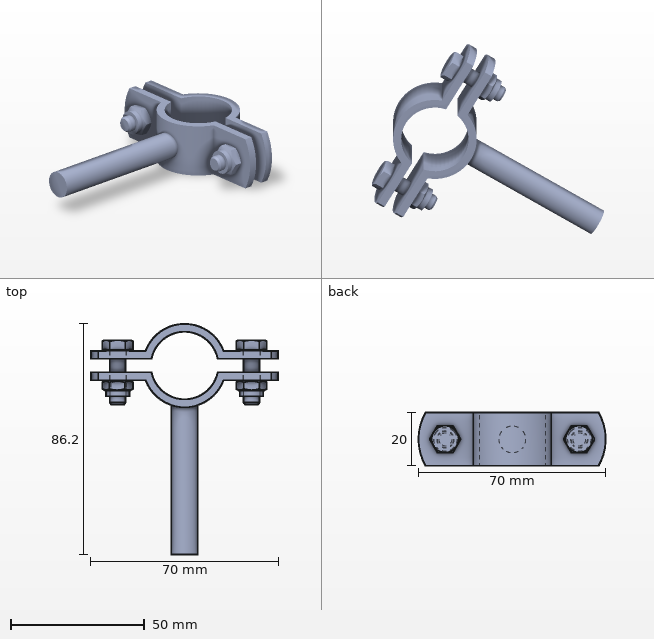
import cadquery as cq
import math

clamp_length = 70.0
clamp_width = 20.0
strap_thickness = 3.0
ear_gap = 5.0
ring_outer_radius = 15.6
ring_inner_radius = ring_outer_radius - strap_thickness
ear_end_radius = clamp_width
ear_inner_face = ear_gap / 2
ear_outer_face = ear_inner_face + strap_thickness

overall_depth = 86.2
rod_diameter = 10.0
rod_end = overall_depth - ring_outer_radius

bolt_spacing = 50.0
bolt_x_positions = (-bolt_spacing / 2, bolt_spacing / 2)
shank_diameter = 6.0
clearance_diameter = 6.5
hex_across_flats = 10.0
hex_across_corners = hex_across_flats / math.cos(math.radians(30))
hex_chamfer_angle = 30.0
washer_face_diameter = 8.7
washer_face_height = 0.4
head_height = 4.0
nut_hex_height = 4.0
collar_diameter = 8.9
nut_height = 6.0
nut_turns = (3.0, 0.0)
bolt_projection = 9.05
tip_diameter = 4.8
tip_chamfer_height = 0.8


def along_y(start):
    """Workplane facing +Y, with local x along -X and local y along +Z."""
    return cq.Workplane("XZ", origin=(0, start, 0)).transformed(rotate=(0, 180, 0))


def cylinder(diameter, start, end):
    """Cylinder on the Y axis between two Y positions."""
    return along_y(start).circle(diameter / 2).extrude(end - start)


def make_half_clamp():
    """Half ring with two ears on the +Y side."""
    half_length = clamp_length / 2
    half_width = clamp_width / 2
    end_sagitta = ear_end_radius - math.sqrt(ear_end_radius**2 - half_width**2)
    outer_root = math.sqrt(ring_outer_radius**2 - ear_outer_face**2)
    inner_root = math.sqrt(ring_inner_radius**2 - ear_inner_face**2)
    strap = (
        cq.Workplane("XY", origin=(0, 0, -half_width))
        .moveTo(-half_length, ear_inner_face)
        .lineTo(-half_length, ear_outer_face)
        .lineTo(-outer_root, ear_outer_face)
        .threePointArc((0, ring_outer_radius), (outer_root, ear_outer_face))
        .lineTo(half_length, ear_outer_face)
        .lineTo(half_length, ear_inner_face)
        .lineTo(inner_root, ear_inner_face)
        .threePointArc((0, ring_inner_radius), (-inner_root, ear_inner_face))
        .close()
        .extrude(clamp_width)
    )
    corner_x = half_length - end_sagitta
    rounded_outline = (
        along_y(0)
        .moveTo(-corner_x, -half_width)
        .lineTo(corner_x, -half_width)
        .threePointArc((half_length, 0), (corner_x, half_width))
        .lineTo(-corner_x, half_width)
        .threePointArc((-half_length, 0), (-corner_x, -half_width))
        .close()
        .extrude(ring_outer_radius)
    )
    half = strap.intersect(rounded_outline)
    for x in bolt_x_positions:
        hole = cylinder(clearance_diameter, 0, ring_outer_radius).translate((x, 0, 0))
        half = half.cut(hole)
    return half


def make_front_half():
    """Half clamp on the -Y side with its rod, which stops at the ring bore."""
    half = make_half_clamp().mirror("XZ")
    rod = cylinder(rod_diameter, -rod_end, -ring_inner_radius)
    bore = cq.Workplane("XY").circle(ring_inner_radius).extrude(clamp_width / 2, both=True)
    return half.union(rod.cut(bore))


def hexagon(start, end, start_diameter, end_diameter):
    """Hexagonal prism along Y, turned off conically to the given end diameters."""
    prism = along_y(start).polygon(6, hex_across_corners).extrude(end - start)
    corner_radius = hex_across_corners / 2
    start_radius = start_diameter / 2
    end_radius = end_diameter / 2
    slope = math.tan(math.radians(hex_chamfer_angle))
    start_drop = (corner_radius - start_radius) * slope
    end_drop = (corner_radius - end_radius) * slope
    outline = [
        (0, start),
        (start_radius, start),
        (corner_radius, start + start_drop),
        (corner_radius, end - end_drop),
        (end_radius, end),
        (0, end),
    ]
    if start_drop == 0:
        outline.pop(1)
    envelope = (
        cq.Workplane("XY")
        .polyline(outline)
        .close()
        .revolve(360, (0, 0, 0), (0, 1, 0))
    )
    return prism.intersect(envelope)


def make_bolt(x):
    """Hex bolt with its head on the rear ear and its tip toward -Y."""
    seat = ear_outer_face
    washer_top = seat + washer_face_height
    tip = -ear_outer_face - bolt_projection
    tip_chamfer_width = (shank_diameter - tip_diameter) / 2
    shank = cylinder(shank_diameter, tip, seat).faces("<Y").chamfer(tip_chamfer_height, tip_chamfer_width)
    washer_face = cylinder(washer_face_diameter, seat, washer_top)
    head = hexagon(washer_top, seat + head_height, hex_across_corners, hex_across_flats)
    return shank.union(washer_face).union(head).translate((x, 0, 0))


def make_nut(x, turn):
    """Hex nut with a round collar, seated on the front ear."""
    seat = -ear_outer_face
    hex_end = seat - nut_hex_height
    nut_end = seat - nut_height
    collar = cylinder(collar_diameter, nut_end, hex_end)
    body = hexagon(hex_end, seat, collar_diameter, collar_diameter).union(collar)
    nut = body.cut(cylinder(shank_diameter, nut_end, seat))
    return nut.rotate((0, 0, 0), (0, 1, 0), -turn).translate((x, 0, 0))


rear_half = make_half_clamp()
front_half = make_front_half()
bolts = [make_bolt(x).val() for x in bolt_x_positions]
nuts = [make_nut(x, turn).val() for x, turn in zip(bolt_x_positions, nut_turns)]

result = cq.Compound.makeCompound([rear_half.val(), front_half.val(), *bolts, *nuts])